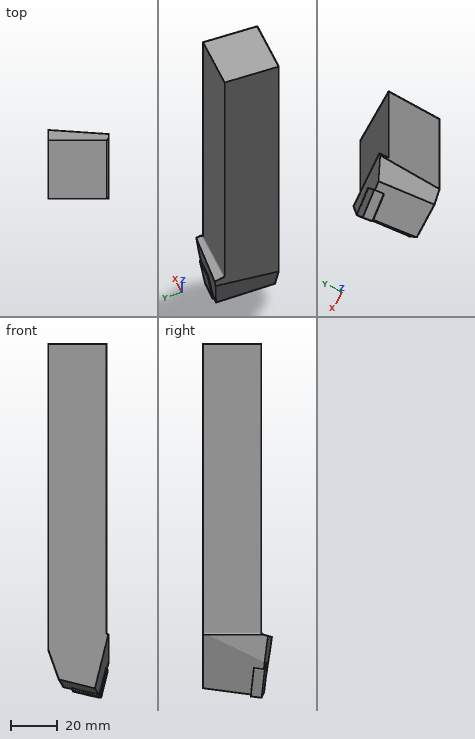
import cadquery as cq
import math

length = 151.4
shank = 25.0
head_width = 25.9
head_depth = 29.5
cove = 0.9
ledge_z = 27.1
ledge_back_z = 26.0
clear = 90.8

rake_x_slope = 0.07
rake_z_slope = 0.13
rake_y = head_depth - rake_z_slope * ledge_back_z
rake_normal = cq.Vector(rake_x_slope, 1, -rake_z_slope).normalized()

left_corner_z = 20.5
left_slope = 2.8
left_lean = 0.09
end_z = 9.1
approach = 14.0
end_lean = 0.11
side_x = 18.9
side_lean = 0.12

insert_side = 12.7
insert_thickness = 4.7
nose_radius = 0.8
insert_proud = 0.5
corner_x = 22.5
corner_z = -0.09


def plane_block(point, outward):
    """Block that fills the space on the outward side of a plane."""
    plane = cq.Plane(origin=point, normal=outward)
    return cq.Workplane(plane).rect(2 * clear, 2 * clear).extrude(clear)


def below_ledge():
    """Block that keeps the head cutters away from the shank above."""
    return cq.Workplane("XY").box(clear, clear, ledge_z, centered=(True, True, False))


def shank_and_head_blank():
    """Intersect the two coved profiles so that their coves meet in a mitre."""
    cove_top = ledge_z + cove
    cove_end = shank + cove
    arc_offset = cove * (1 - math.sqrt(0.5))
    arc_middle = (shank + arc_offset, ledge_z + arc_offset)
    depth_profile = (
        cq.Workplane("YZ")
        .lineTo(head_depth, 0)
        .lineTo(head_depth, ledge_back_z)
        .lineTo(cove_end, ledge_z)
        .threePointArc(arc_middle, (shank, cove_top))
        .lineTo(shank, length)
        .lineTo(0, length)
        .close()
        .extrude(head_width)
    )
    width_profile = (
        cq.Workplane("XZ")
        .lineTo(head_width, 0)
        .lineTo(head_width, ledge_z)
        .threePointArc(arc_middle, (shank, cove_top))
        .lineTo(shank, length)
        .lineTo(0, length)
        .close()
        .extrude(-head_depth)
    )
    return depth_profile.intersect(width_profile)


def rake_cutter():
    """Everything above the rake face, up to the ledge that ends the head."""
    block = plane_block((0, rake_y, 0), rake_normal)
    return block.intersect(below_ledge())


def make_insert():
    """Square insert lying on the rake face, with its corner at the tool tip."""
    corner_y = rake_y - rake_x_slope * corner_x + rake_z_slope * corner_z
    corner = cq.Vector(corner_x, corner_y, corner_z) + rake_normal * insert_proud
    angle = math.radians(approach)
    side_run = math.sin(angle)
    side_rise = math.cos(angle)
    side_y = rake_z_slope * side_rise - rake_x_slope * side_run
    side_direction = cq.Vector(side_run, side_y, side_rise)
    top = cq.Plane(origin=corner, xDir=side_direction, normal=rake_normal)
    return (
        cq.Workplane(top)
        .rect(insert_side, -insert_side, centered=False)
        .extrude(-insert_thickness)
        .edges(cq.selectors.ParallelDirSelector(rake_normal))
        .fillet(nose_radius)
    )


def make_holder(seated_insert):
    """Square shank with a relieved head and a pocket for the insert."""
    slope = math.tan(math.radians(approach))
    left_flank = plane_block((0, 0, left_corner_z), (-left_slope, left_lean, -1))
    end_flank = plane_block((0, 0, end_z), (-slope, -end_lean, -1))
    side_flank = plane_block((side_x, 0, 0), (1, -side_lean, -slope))
    side_flank = side_flank.intersect(below_ledge())
    holder = shank_and_head_blank()
    for cutter in (left_flank, end_flank, side_flank, rake_cutter(), seated_insert):
        holder = holder.cut(cutter)
    return holder


insert = make_insert()
holder = make_holder(insert)
result = cq.Compound.makeCompound([holder.val(), insert.val()])